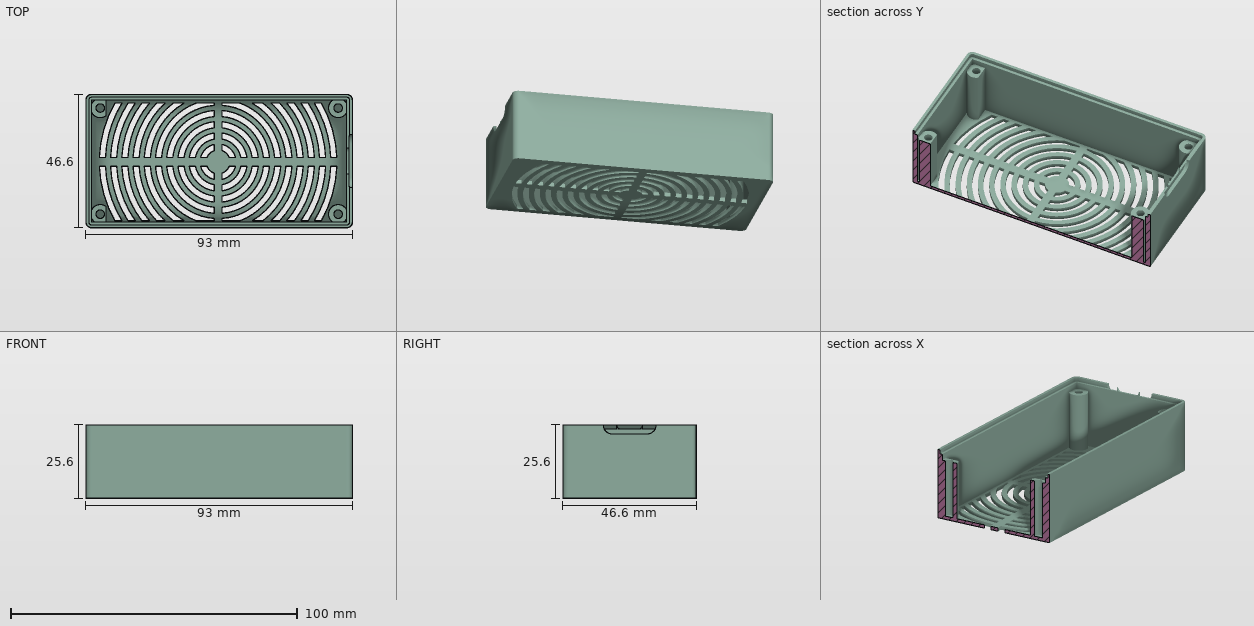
import cadquery as cq

length = 93.0
width = 46.6
height = 25.6
wall = 2.0
corner_radius = wall
floor = 1.4

lip_thickness = 1.0
lip_depth = 1.5
shelf_z = height - lip_depth

boss_x = 41.5
boss_y = 18.5
boss_radius = 3.35
boss_top = 21.95
screw_hole_radius = 1.5
left_boss_flat_x = -39.4

grille_x = -0.4
grille_y = -0.3
slot_count = 10
first_slot_radius = 4.2
slot_width = 2.0
slot_pitch = 3.9
grille_height = 41.0
cross_bar_x = 2.8
cross_bar_y = 3.2

recess_width = 18.4
recess_radius = 3.2
recess_depth = 1.3
opening_width = 9.0
horn_width = lip_depth


def block(x_min, x_max, y_size, z_min, z_max):
    """Box between two X and two Z planes, centred on Y = 0."""
    return cq.Workplane("XY").box(
        x_max - x_min, y_size, z_max - z_min, centered=(False, True, False)
    ).translate((x_min, 0, z_min))


def make_shell():
    """Rounded box with a sharp-cornered cavity and a stepped rim."""
    shell = cq.Workplane("XY").box(length, width, height, centered=(True, True, False))
    shell = shell.edges("|Z").fillet(corner_radius)
    cavity = block(wall - length / 2, length / 2 - wall, width - 2 * wall, floor, height)
    step = block(
        lip_thickness - length / 2, length / 2 - lip_thickness, width - 2 * lip_thickness, shelf_z, height
    )
    step = step.edges("|Z").fillet(corner_radius - lip_thickness)
    return shell.cut(cavity).cut(step)


def corner_cylinders(radius):
    """Four cylinders on the boss axes, from the floor to the boss tops."""
    return (
        cq.Workplane("XY", origin=(0, 0, floor))
        .rect(2 * boss_x, 2 * boss_y, forConstruction=True)
        .vertices()
        .circle(radius)
        .extrude(boss_top - floor)
    )


def make_bosses():
    """Bosses merged into the walls; the two on the -X side have a flat inner face."""
    bosses = corner_cylinders(boss_radius)
    inside = block(
        lip_thickness - length / 2, length / 2 - lip_thickness, width - 2 * lip_thickness, 0, height
    )
    beyond_flat = block(left_boss_flat_x, 0, width, 0, height)
    return bosses.intersect(inside).cut(beyond_flat)


def make_grille():
    """Cutter for the ring slots through the floor."""
    plane = cq.Workplane("XY", origin=(grille_x, grille_y, 0))
    slots = cq.Workplane("XY")
    for index in range(slot_count):
        inner_radius = first_slot_radius + index * slot_pitch
        slots = slots.add(plane.circle(inner_radius + slot_width).circle(inner_radius).extrude(floor))
    slots = slots.combine()
    upright = plane.rect(cross_bar_x, width).extrude(floor)
    crossbar = plane.rect(length, cross_bar_y).extrude(floor)
    trim = plane.rect(length, grille_height).extrude(floor)
    return slots.intersect(trim).cut(upright).cut(crossbar)


def make_recess():
    """Cutter for the outer half of a round-cornered plug recess."""
    return (
        cq.Workplane("YZ", origin=(length / 2 - recess_depth, 0, height))
        .slot2D(recess_width, 2 * recess_radius)
        .extrude(recess_depth)
    )


def make_horns():
    """Two thin horns standing on the shelf, hollowed by the round ends of the opening."""
    x_min = length / 2 - wall
    x_max = length / 2 - recess_depth
    horns = cq.Workplane("XY")
    for side in (-1, 1):
        outer_y = side * opening_width / 2
        inner_y = outer_y - side * horn_width
        horn = (
            cq.Workplane("YZ", origin=(x_min, 0, 0))
            .moveTo(inner_y, shelf_z)
            .radiusArc((outer_y, height), -side * horn_width)
            .lineTo(outer_y, shelf_z)
            .close()
            .extrude(x_max - x_min)
        )
        horns = horns.add(horn)
    return horns.combine()


result = (
    make_shell()
    .union(make_bosses())
    .cut(corner_cylinders(screw_hole_radius))
    .cut(make_grille())
    .cut(make_recess())
    .union(make_horns())
)